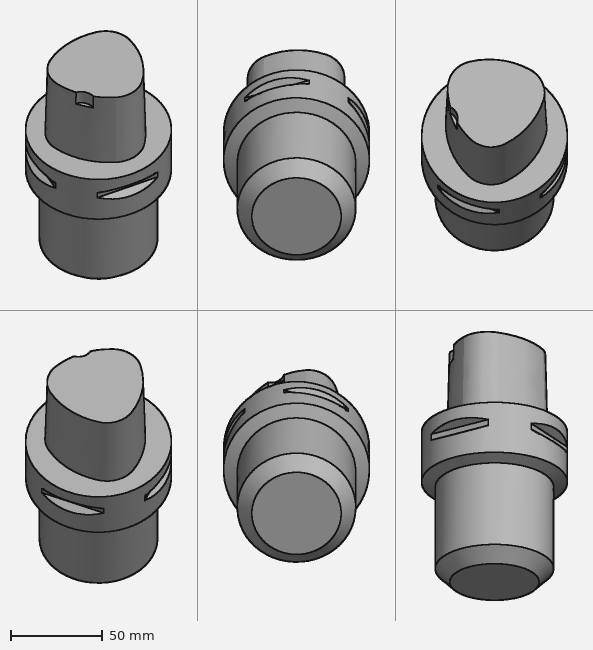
import cadquery as cq
import math


flange_radius = 80 / 2
flange_height = 30
flange_chamfer_height = 3
body_radius = 65 / 2
body_end_chamfer = 8
total_height = 138

shank_height = 48
shank_taper_angle = math.degrees(math.atan(1 / 40))
corner_reach = 29.5
flank_reach = 25.5
flank_radius = 44.5

keyway_radius = 7.5
keyway_inner_y = -22.2
keyway_height = 8.4

groove_depth_below_face = 12
groove_floor_distance = 35.5
groove_floor_width = 3.5
groove_wall_angle = 30
groove_count = 4
first_groove_angle = 45

bottom_z = shank_height - total_height


def polar(radius, angle):
    turn = math.radians(angle)
    return (radius * math.cos(turn), radius * math.sin(turn))


def make_body():
    flange_bottom_z = -flange_height
    neck_z = flange_bottom_z - flange_chamfer_height
    return (
        cq.Workplane("XZ")
        .moveTo(0, 0)
        .lineTo(flange_radius, 0)
        .lineTo(flange_radius, flange_bottom_z)
        .lineTo(body_radius, neck_z)
        .lineTo(body_radius, bottom_z + body_end_chamfer)
        .lineTo(body_radius - body_end_chamfer, bottom_z)
        .lineTo(0, bottom_z)
        .close()
        .revolve(360, (0, 0, 0), (0, 1, 0))
    )


def make_shank():
    flank_offset = flank_radius - flank_reach
    radius_gap = flank_radius - corner_reach
    corner_offset = (flank_offset**2 - radius_gap**2) / (2 * radius_gap - flank_offset)

    flank_angles = (-90, 30, 150)
    corner_from_flank = 60

    corner_x, corner_y = polar(corner_offset, flank_angles[0] + corner_from_flank)
    tangent_angle = math.atan2(corner_x, flank_offset - corner_y)
    tangent_x = flank_radius * math.sin(tangent_angle)
    tangent_y = flank_offset - flank_radius * math.cos(tangent_angle)
    tangent_distance = math.hypot(tangent_x, tangent_y)
    half_flank_angle = math.degrees(math.atan2(tangent_x, -tangent_y))

    outline_start = polar(tangent_distance, flank_angles[0] - half_flank_angle)
    outline = cq.Workplane("XY").moveTo(*outline_start)
    for flank_angle in flank_angles:
        corner_angle = flank_angle + corner_from_flank
        next_flank_start = corner_angle + corner_from_flank - half_flank_angle
        outline = outline.threePointArc(
            polar(flank_reach, flank_angle),
            polar(tangent_distance, flank_angle + half_flank_angle),
        )
        outline = outline.threePointArc(
            polar(corner_reach, corner_angle),
            polar(tangent_distance, next_flank_start),
        )
    return outline.close().extrude(shank_height, taper=shank_taper_angle)


def make_keyway_cutter():
    return (
        cq.Workplane("XY")
        .workplane(offset=shank_height - keyway_height)
        .center(0, keyway_inner_y - keyway_radius)
        .circle(keyway_radius)
        .extrude(keyway_height)
    )


def make_groove_cutter():
    half_floor = groove_floor_width / 2
    flare_depth = flange_radius - groove_floor_distance
    half_mouth = half_floor + flare_depth * math.tan(math.radians(groove_wall_angle))
    return (
        cq.Workplane("XZ")
        .center(0, -groove_depth_below_face)
        .moveTo(groove_floor_distance, -half_floor)
        .lineTo(flange_radius, -half_mouth)
        .lineTo(flange_radius, half_mouth)
        .lineTo(groove_floor_distance, half_floor)
        .close()
        .extrude(flange_radius, both=True)
    )


result = make_body().union(make_shank()).cut(make_keyway_cutter())
groove_cutter = make_groove_cutter()
for index in range(groove_count):
    angle = first_groove_angle + index * 360 / groove_count
    result = result.cut(groove_cutter.rotate((0, 0, 0), (0, 0, 1), angle))